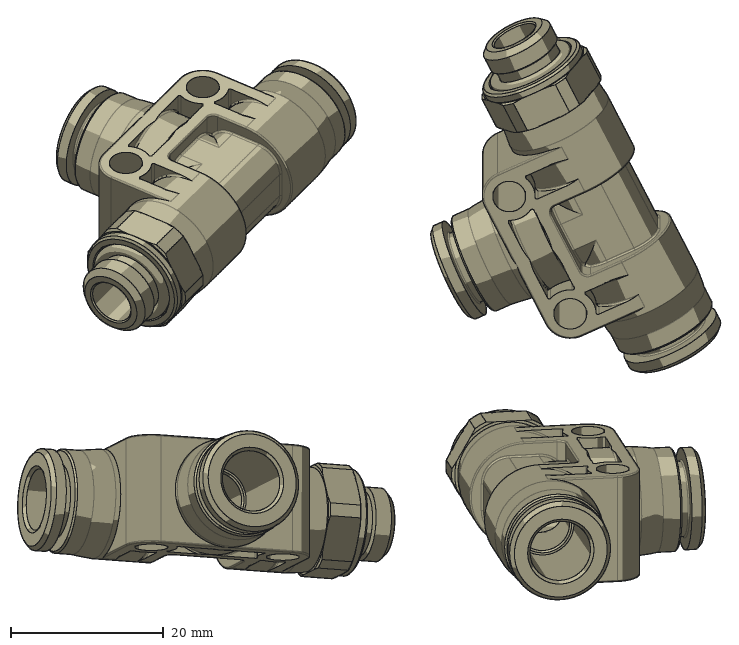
import cadquery as cq
import math


TINY = 0.005

BODY_R = 7.2
BORE_R = 3.5
SHOULDER_END = 13.45
SLEEVE_R = 6.85
TAPER_END = 16.35
TAPER_BULGE = 0.05

SLEEVE_END = 18.9
SLEEVE_CHAMFER = 0.25
COLLAR_R = 6.7
COLLAR_START = 20.2
PORT_END = 22.1
COLLAR_CHAMFER = 0.55
NECK_R = 4.95
NECK_COVE = 0.2
SOCKET_R = 4.0
SOCKET_DEPTH = 12.75
MOUTH_R = 4.4
BORE_CHAMFER = 0.25

BRACKET_REACH = 12.75
BRACKET_CORNER_R = 3.55
HOLE_R = 2.15
HOLE_OFFSET = BRACKET_REACH - BRACKET_CORNER_R
BOSS_R = 3.4
RIM_FILLET = 0.2
COVE = 0.25
OPENING_CORNER_R = 0.25
SLOT_LEFT = -10.95
SLOT_RIGHT = -7.15
ARM_OUTER_IN = 10.9
ARM_INNER_OUT = 7.3

WAIST_HALF = 5.4
WAIST_CORNER_R = 1.0
CORE_HALF_WIDTH = 5.45
CORE_HALF_HEIGHT = 5.25
CORE_CORNER_R = 3.45

HEX_FLATS = 14.0
HEX_CORNER_R = 7.65
HEX_END = 20.9
HEX_CHAMFER_R = 0.4
HEX_CHAMFER_H = 0.15
FLANGE_R = 7.05
FLANGE_END = 22.05
FLANGE_CHAMFER = 0.3
STUD_NECK_R = 4.3
THREAD_R = 4.85
THREAD_START = 23.65
THREAD_LEAD = 0.3
STUD_END = 26.9
STUD_CHAMFER = 0.8
STUD_BORE_R = 3.0
STUD_MOUTH_CHAMFER = 0.2

RING_TUBE_R = 0.75
RING_R = STUD_NECK_R + RING_TUBE_R
RING_Y = -21.9
GROOVE_R = 6.0
GROOVE_FLOOR = -RING_Y - RING_TUBE_R


def taper(sketch):
    """Continue a profile from the full body radius to the slim sleeve radius."""
    middle = ((BODY_R + SLEEVE_R) / 2 + TAPER_BULGE, (SHOULDER_END + TAPER_END) / 2)
    return sketch.threePointArc(middle, (SLEEVE_R, TAPER_END))


def revolve(sketch):
    """Turn a closed profile, drawn as (radius, distance), around the Y axis."""
    return sketch.close().revolve(360, (0, 0, 0), (0, 1, 0))


def port(start):
    """Push-in port along +Y with its outside starting at the given distance."""
    sketch = cq.Workplane("XY").moveTo(0, start).lineTo(BODY_R, start).lineTo(BODY_R, SHOULDER_END)
    sketch = (
        taper(sketch)
        .lineTo(SLEEVE_R, SLEEVE_END - SLEEVE_CHAMFER)
        .lineTo(SLEEVE_R - SLEEVE_CHAMFER, SLEEVE_END)
        .lineTo(NECK_R, SLEEVE_END)
        .lineTo(NECK_R, COLLAR_START - NECK_COVE)
        .radiusArc((NECK_R + NECK_COVE, COLLAR_START), NECK_COVE)
        .lineTo(COLLAR_R, COLLAR_START)
        .lineTo(COLLAR_R, PORT_END - COLLAR_CHAMFER)
        .lineTo(COLLAR_R - COLLAR_CHAMFER, PORT_END)
        .lineTo(0, PORT_END)
    )
    return revolve(sketch)


def port_bore():
    """Passage, tube socket and lead-in chamfer of a port along +Y."""
    socket_end = PORT_END - SOCKET_DEPTH
    mouth_depth = MOUTH_R - SOCKET_R
    sketch = (
        cq.Workplane("XY")
        .lineTo(BORE_R, 0)
        .lineTo(BORE_R, socket_end - BORE_CHAMFER)
        .lineTo(BORE_R + BORE_CHAMFER, socket_end)
        .lineTo(SOCKET_R, socket_end)
        .lineTo(SOCKET_R, PORT_END - mouth_depth)
        .lineTo(MOUTH_R, PORT_END)
        .lineTo(0, PORT_END)
    )
    return revolve(sketch)


def to_branch(shape):
    """Turn a shape built along +Y so that it points along -X."""
    return shape.rotate((0, 0, 0), (0, 0, 1), 90)


def to_stud(shape):
    """Turn a shape built along +Y so that it points along -Y."""
    return shape.rotate((0, 0, 0), (0, 0, 1), 180)


def block(x_min, x_max, y_min, y_max, half_height):
    return (
        cq.Workplane("XY", origin=((x_min + x_max) / 2, (y_min + y_max) / 2, 0))
        .box(x_max - x_min, y_max - y_min, 2 * half_height)
    )


def hole_posts(radius):
    """Two upright cylinders at the mounting holes."""
    return (
        cq.Workplane("XY", origin=(0, 0, -BODY_R))
        .pushPoints([(-HOLE_OFFSET, HOLE_OFFSET), (-HOLE_OFFSET, -HOLE_OFFSET)])
        .circle(radius)
        .extrude(2 * BODY_R)
    )


def bracket_plate():
    """Rounded plate between the run and its outer faces, still without openings."""
    plate = block(-BRACKET_REACH, 0, -BRACKET_REACH, BRACKET_REACH, BODY_R)
    plate = plate.edges("|Z and <X").fillet(BRACKET_CORNER_R)
    return plate.faces("<X").edges("|Y").fillet(RIM_FILLET)


def waist_gap():
    """Space that separates the two halves of the run."""
    gap = block(-WAIST_HALF, 2 * BODY_R, -WAIST_HALF, WAIST_HALF, BODY_R)
    return gap.edges("|Z and <X").fillet(WAIST_CORNER_R)


def openings():
    """Slot across the branch and two pockets over the run, hollowed around the hole bosses."""
    shape = block(SLOT_LEFT, SLOT_RIGHT, -HOLE_OFFSET, HOLE_OFFSET, BODY_R)
    for side in (1, -1):
        y_min, y_max = sorted((side * ARM_INNER_OUT, side * ARM_OUTER_IN))
        shape = shape.union(block(-HOLE_OFFSET, 0, y_min, y_max, BODY_R))
    shape = shape.cut(hole_posts(BOSS_R))
    return shape.edges("|Z").edges("not >X").fillet(OPENING_CORNER_R)


def core_bar(length):
    """Bar along +Y with the rounded section of the waist."""
    return (
        cq.Workplane("XZ")
        .rect(2 * CORE_HALF_WIDTH, 2 * CORE_HALF_HEIGHT)
        .extrude(-length)
        .edges("|Y")
        .fillet(CORE_CORNER_R)
    )


def hexagon():
    """Wrench hexagon along +Y with turned corners and chamfered ends."""
    start, end = TAPER_END, HEX_END
    corner_to_corner = HEX_FLATS / math.cos(math.pi / 6)
    prism = (
        cq.Workplane("XZ", origin=(0, end, 0)).polygon(6, corner_to_corner).extrude(end - start)
    )
    turned = revolve(
        cq.Workplane("XY")
        .moveTo(0, start)
        .lineTo(HEX_CORNER_R - HEX_CHAMFER_R, start)
        .lineTo(HEX_CORNER_R, start + HEX_CHAMFER_H)
        .lineTo(HEX_CORNER_R, end - HEX_CHAMFER_H)
        .lineTo(HEX_CORNER_R - HEX_CHAMFER_R, end)
        .lineTo(0, end)
    )
    return prism.intersect(turned)


def stud():
    """Lower half of the run along +Y: shoulder, hexagon, flange and threaded end."""
    sketch = (
        cq.Workplane("XY")
        .moveTo(0, WAIST_HALF)
        .lineTo(BODY_R, WAIST_HALF)
        .lineTo(BODY_R, SHOULDER_END)
    )
    shoulder = revolve(taper(sketch).lineTo(0, TAPER_END))
    threaded_end = revolve(
        cq.Workplane("XY")
        .moveTo(0, HEX_END)
        .lineTo(FLANGE_R, HEX_END)
        .lineTo(FLANGE_R, FLANGE_END - FLANGE_CHAMFER)
        .lineTo(FLANGE_R - FLANGE_CHAMFER, FLANGE_END)
        .lineTo(GROOVE_R, FLANGE_END)
        .lineTo(GROOVE_R, GROOVE_FLOOR)
        .lineTo(STUD_NECK_R, GROOVE_FLOOR)
        .lineTo(STUD_NECK_R, THREAD_START)
        .lineTo(THREAD_R, THREAD_START + THREAD_LEAD)
        .lineTo(THREAD_R, STUD_END - STUD_CHAMFER)
        .lineTo(THREAD_R - STUD_CHAMFER, STUD_END)
        .lineTo(0, STUD_END)
    )
    return shoulder.union(hexagon()).union(threaded_end)


def stud_bore():
    """Passage along +Y that narrows inside the hexagon."""
    sketch = (
        cq.Workplane("XY")
        .lineTo(BORE_R, 0)
        .lineTo(BORE_R, TAPER_END)
        .lineTo(STUD_BORE_R, TAPER_END)
        .lineTo(STUD_BORE_R, STUD_END - STUD_MOUTH_CHAMFER)
        .lineTo(STUD_BORE_R + STUD_MOUTH_CHAMFER, STUD_END)
        .lineTo(0, STUD_END)
    )
    return revolve(sketch)


def run():
    """Bracket and both ends of the run, parted by the waist with rounded rims."""
    solid = bracket_plate().cut(openings()).union(port(WAIST_HALF)).union(to_stud(stud()))
    solid = solid.cut(waist_gap())
    near_walls = cq.selectors.BoxSelector(
        (-WAIST_HALF - TINY, -WAIST_HALF - TINY, -2 * BODY_R),
        (2 * BODY_R, WAIST_HALF + TINY, 2 * BODY_R),
    )
    return solid.edges(near_walls).edges("not |Z").fillet(RIM_FILLET)


def add_core(solid):
    """Bridge the waist with a cross of two bars, with hollow fillets at the walls."""
    along_run = core_bar(2 * WAIST_HALF).translate((0, -WAIST_HALF, 0))
    solid = solid.union(along_run).union(to_branch(core_bar(WAIST_HALF)))

    inner = WAIST_HALF - COVE
    outer = WAIST_HALF + TINY
    seams = cq.selectors.BoxSelector(
        (-outer, -outer, -CORE_HALF_HEIGHT - TINY),
        (CORE_HALF_WIDTH + TINY, outer, CORE_HALF_HEIGHT + TINY),
    ) - cq.selectors.BoxSelector((-inner, -inner, -BODY_R), (2 * BODY_R, inner, BODY_R))
    return solid.edges(seams).fillet(COVE)


def cove_ring(wall, direction):
    """Hollow fillet around the Y axis from the body radius to a wall facing +Y (1) or -Y (-1)."""
    core_r = BODY_R - COVE
    sketch = (
        cq.Workplane("XY")
        .moveTo(core_r, wall)
        .lineTo(BODY_R + COVE, wall)
        .radiusArc((BODY_R, wall + direction * COVE), direction * COVE)
        .lineTo(core_r, wall + direction * COVE)
    )
    slab = block(-2 * BODY_R, 2 * BODY_R, -BRACKET_REACH, BRACKET_REACH, BODY_R)
    return revolve(sketch).intersect(slab)


def add_coves(solid):
    """Hollow fillets at the feet of the slot and pocket walls."""
    for wall, direction in ((-SLOT_RIGHT, 1), (-SLOT_LEFT, -1)):
        solid = solid.union(to_branch(cove_ring(wall, direction)))
    bracket_side = block(-2 * BODY_R, 0, -BRACKET_REACH, BRACKET_REACH, BODY_R)
    for wall, direction in ((ARM_INNER_OUT, 1), (ARM_OUTER_IN, -1)):
        ring = cove_ring(wall, direction).intersect(bracket_side)
        solid = solid.union(ring).union(ring.mirror("XZ"))
    return solid


def fitting():
    """Complete tee: bracket, waist, two push-in ports and the threaded stud."""
    solid = add_core(run()).union(to_branch(port(-SLOT_RIGHT)))
    solid = add_coves(solid).cut(hole_posts(HOLE_R))
    for bore in (port_bore(), to_branch(port_bore()), to_stud(stud_bore())):
        solid = solid.cut(bore)
    return solid


def sealing_ring():
    """Round ring in the flange groove, seated on the stud neck."""
    return (
        cq.Workplane("XY")
        .center(RING_R, RING_Y)
        .circle(RING_TUBE_R)
        .revolve(360, (-RING_R, 0, 0), (-RING_R, 1, 0))
    )


result = cq.Compound.makeCompound([fitting().val(), sealing_ring().val()])